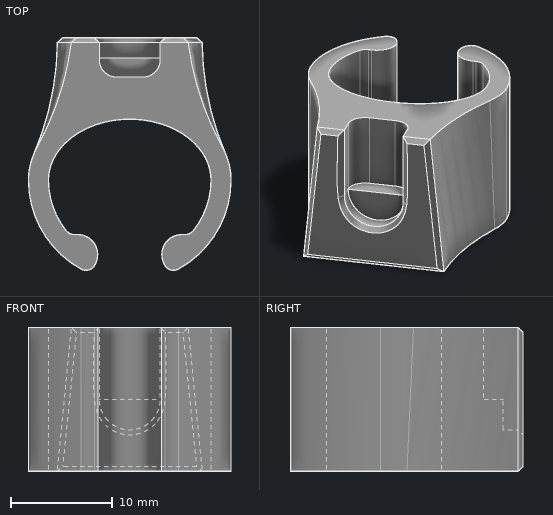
import cadquery as cq
import math

height = 14.2
arm_end_y = 14.06

outer_radius = 10.0
wall = 2.0
inner_radius = outer_radius - wall
outer_rise = 8.0
inner_rise = outer_rise - wall

bottom_tangent_y = 2.6
top_tangent_y = 3.25
bottom_half_width = 7.15
top_half_width = 5.7
end_chamfer = 0.5

lip_radius = 2.0
lip_x = 5.15
lip_y = -7.35
lip_tip_fillet = 1.0
lip_root_fillet = 1.0

socket_radius = 3.0
socket_z = height / 2
recess_depth = 2.0
pocket_depth = 3.9
pocket_corner_radius = 1.7


def body_outline(z, tangent_y, end_half_width):
    """Outline of the upper ring half and arm at height z, with flanks tangent to the ellipse."""
    angle = math.asin(tangent_y / outer_rise)
    tangent_x = outer_radius * math.cos(angle)
    slope_x = outer_radius * math.sin(angle)
    slope_y = outer_rise * math.cos(angle)

    def ellipse_arc(start_angle, end_angle):
        return cq.Edge.makeEllipse(
            outer_radius,
            outer_rise,
            pnt=(0, 0, z),
            angle1=math.degrees(start_angle),
            angle2=math.degrees(end_angle),
        )

    def flank(side):
        start = (side * tangent_x, tangent_y, z)
        direction = (-side * slope_x, slope_y, 0)
        end = (side * end_half_width, arm_end_y, z)
        return cq.Edge.makeTangentArc(cq.Vector(start), cq.Vector(direction), cq.Vector(end))

    right_end = cq.Vector(end_half_width, arm_end_y, z)
    left_end = cq.Vector(-end_half_width, arm_end_y, z)
    edges = [
        ellipse_arc(0, angle),
        flank(1),
        cq.Edge.makeLine(right_end, left_end),
        flank(-1),
        ellipse_arc(math.pi - angle, math.pi),
        cq.Edge.makeLine(cq.Vector(-outer_radius, 0, z), cq.Vector(outer_radius, 0, z)),
    ]
    return cq.Wire.assembleEdges(edges)


def make_upper_body():
    """Arm and upper ring half, with the elliptical bore still filled."""
    bottom = body_outline(0, bottom_tangent_y, bottom_half_width)
    top = body_outline(height, top_tangent_y, top_half_width)
    return cq.Workplane(cq.Solid.makeLoft([bottom, top], True))


def make_socket():
    """U-shaped recess in the arm end, and the round-cornered pocket behind its upper part."""
    slot_height = height - socket_z
    recess = (
        cq.Workplane("XZ", origin=(0, arm_end_y, socket_z))
        .moveTo(-socket_radius, slot_height)
        .lineTo(-socket_radius, 0)
        .threePointArc((0, -socket_radius), (socket_radius, 0))
        .lineTo(socket_radius, slot_height)
        .close()
        .extrude(recess_depth)
    )
    pocket = (
        cq.Workplane("XY", origin=(0, arm_end_y - pocket_depth / 2, socket_z))
        .rect(2 * socket_radius, pocket_depth)
        .extrude(slot_height)
        .edges("|Z and <Y")
        .fillet(pocket_corner_radius)
    )
    return recess.union(pocket)


def make_lower_ring():
    """Round half of the ring, cut open between the lip centres."""
    ring = cq.Workplane("XY").circle(outer_radius).circle(inner_radius).extrude(height)
    lower_half = cq.Workplane("XY").center(0, -outer_radius / 2)
    round_half = lower_half.rect(2 * outer_radius, outer_radius).extrude(height)
    opening = lower_half.rect(2 * lip_x, outer_radius).extrude(height)
    return ring.intersect(round_half).cut(opening)


def make_lip():
    """Left lip: a bead with a flat crest running into the ring, trimmed to the outer circle."""
    bead = cq.Workplane("XY").center(-lip_x, lip_y).circle(lip_radius).extrude(height)
    crest = (
        cq.Workplane("XY")
        .center(-lip_x - lip_radius / 2, lip_y + lip_radius / 2)
        .rect(lip_radius, lip_radius)
        .extrude(height)
    )
    outer_disc = cq.Workplane("XY").circle(outer_radius).extrude(height)
    return bead.union(crest).intersect(outer_disc)


def round_lips(clip):
    """Round the tip and the root of both lips."""
    crest_y = lip_y + lip_radius
    root_x = math.sqrt(inner_radius ** 2 - crest_y ** 2)

    centre_distance = math.hypot(lip_x, lip_y)
    cos_tip = (outer_radius ** 2 + centre_distance ** 2 - lip_radius ** 2) / (
        2 * outer_radius * centre_distance
    )
    tip_angle = math.atan2(lip_y, lip_x) - math.acos(cos_tip)
    tip_x = outer_radius * math.cos(tip_angle)
    tip_y = outer_radius * math.sin(tip_angle)

    for side in (-1, 1):
        tip = cq.NearestToPointSelector((side * tip_x, tip_y, height / 2))
        clip = clip.edges("|Z").edges(tip).fillet(lip_tip_fillet)
        root = cq.NearestToPointSelector((side * root_x, crest_y, height / 2))
        clip = clip.edges("|Z").edges(root).fillet(lip_root_fillet)
    return clip


bore = cq.Workplane("XY").ellipse(inner_radius, inner_rise).extrude(height)
left_lip = make_lip()
clip = make_upper_body().cut(bore).union(make_lower_ring())
clip = clip.union(left_lip).union(left_lip.mirror("YZ"))
clip = round_lips(clip)
clip = clip.cut(make_socket())
result = clip.faces(">Y").edges().chamfer(end_chamfer)